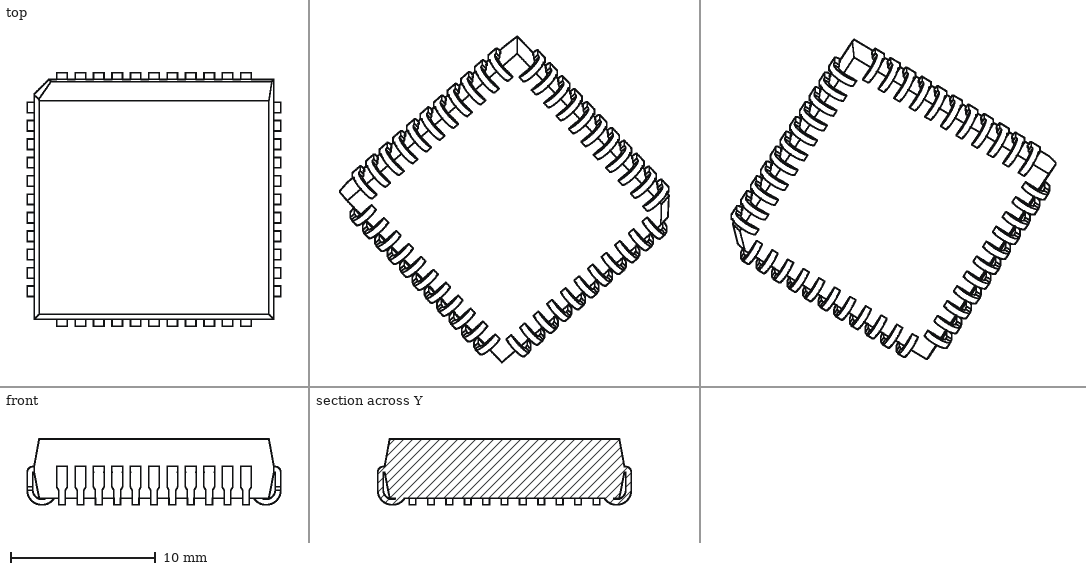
import cadquery as cq
import math

overall_width = 17.53
overall_height = 4.57

band_half = 8.29
end_half = 7.94
body_bottom = 0.46
band_bottom = 2.26
band_top = 2.66

bevel_top_y = 6.83
bevel_low_y = 8.16
bevel_low_z = 3.46

corner_leg = 1.03
upper_facet_z_at_y_face = 2.61
upper_facet_z_at_x_face = 2.52
lower_facet_z_at_y_face = 2.42
lower_facet_z_at_x_face = 2.31
facet_end_y = 6.91

dimple_diameter = 1.93
dimple_depth = 0.1
dimple_y = 5.64

side_count = 4
leads_per_side = 11
lead_pitch = 1.27
lead_thickness = band_top - band_bottom
lead_wide = 0.74
lead_narrow = 0.47
lead_outer = overall_width / 2
hook_radius = 1.02
shoulder_top = 1.25
lead_root = end_half

cutter_size = 3 * overall_width


def make_taper(start_z, end_z):
    """Square frustum from the band face at start_z to the end face at end_z."""
    return (
        cq.Workplane("XY")
        .workplane(offset=start_z)
        .rect(2 * band_half, 2 * band_half)
        .workplane(offset=end_z - start_z)
        .rect(2 * end_half, 2 * end_half)
        .loft(ruled=True)
    )


def trim_outside(solid, point_a, point_b, point_c):
    """Remove everything on the far side, away from the Z axis, of the plane through three points."""
    origin = cq.Vector(*point_a)
    along = cq.Vector(*point_b) - origin
    normal = along.cross(cq.Vector(*point_c) - origin)
    if normal.dot(cq.Vector(point_a[0], point_a[1], 0)) < 0:
        normal = normal * -1
    cutting_plane = cq.Plane(origin=origin, xDir=along, normal=normal)
    return solid.cut(cq.Workplane(cutting_plane).rect(cutter_size, cutter_size).extrude(cutter_size))


def bevel_edge(body):
    return trim_outside(
        body,
        (0, bevel_top_y, overall_height),
        (band_half, bevel_top_y, overall_height),
        (0, bevel_low_y, bevel_low_z),
    )


def chamfer_corner(body):
    corner_inset = band_half - corner_leg
    y_face_corner = (-corner_inset, band_half)
    x_face_corner = (-band_half, corner_inset)
    body = trim_outside(
        body,
        (*y_face_corner, band_bottom),
        (*x_face_corner, band_bottom),
        (*x_face_corner, band_top),
    )
    body = trim_outside(
        body,
        (*y_face_corner, upper_facet_z_at_y_face),
        (*x_face_corner, upper_facet_z_at_x_face),
        (-end_half, facet_end_y, overall_height),
    )
    return trim_outside(
        body,
        (*y_face_corner, lower_facet_z_at_y_face),
        (*x_face_corner, lower_facet_z_at_x_face),
        (-end_half, facet_end_y, body_bottom),
    )


def make_dimple():
    """Ball that leaves a shallow round dimple in the top face."""
    rim_radius = dimple_diameter / 2
    ball_radius = (rim_radius ** 2 + dimple_depth ** 2) / (2 * dimple_depth)
    ball_z = overall_height - dimple_depth + ball_radius
    return cq.Workplane("XY").sphere(ball_radius, direct=(1, 0, 0)).translate((0, dimple_y, ball_z))


def make_body():
    band = (
        cq.Workplane("XY")
        .workplane(offset=band_bottom)
        .rect(2 * band_half, 2 * band_half)
        .extrude(band_top - band_bottom)
    )
    body = band.union(make_taper(band_top, overall_height))
    body = body.union(make_taper(band_bottom, body_bottom))
    body = bevel_edge(body)
    body = chamfer_corner(body)
    return body.cut(make_dimple())


def make_lead():
    """One lead centred on y = 0 at the +X side; its hook ends inside the body.

    The upper bend has a sharp inside corner; the hook below it is a half ring.
    """
    lead_inner = lead_outer - lead_thickness
    hook_x = lead_outer - hook_radius
    hook_inner_radius = hook_radius - lead_thickness
    bend_reach = lead_thickness * math.sqrt(0.5)
    bend_middle = (lead_inner + bend_reach, band_bottom + bend_reach)

    side_shape = (
        cq.Workplane("XZ")
        .moveTo(lead_root, band_top)
        .lineTo(lead_inner, band_top)
        .threePointArc(bend_middle, (lead_outer, band_bottom))
        .lineTo(lead_outer, hook_radius)
        .threePointArc((hook_x, 0), (hook_x - hook_radius, hook_radius))
        .lineTo(hook_x - hook_inner_radius, hook_radius)
        .threePointArc((hook_x, lead_thickness), (lead_inner, hook_radius))
        .lineTo(lead_inner, band_bottom)
        .lineTo(lead_root, band_bottom)
        .close()
        .extrude(lead_wide / 2, both=True)
    )
    wide = lead_wide / 2
    narrow = lead_narrow / 2
    face_shape = (
        cq.Workplane("YZ")
        .polyline(
            [
                (-narrow, 0),
                (narrow, 0),
                (narrow, hook_radius),
                (wide, shoulder_top),
                (wide, band_top),
                (-wide, band_top),
                (-wide, shoulder_top),
                (-narrow, hook_radius),
            ]
        )
        .close()
        .extrude(overall_width)
    )
    return side_shape.intersect(face_shape)


def make_leads():
    lead = make_lead().val()
    leads = []
    for side in range(side_count):
        for index in range(leads_per_side):
            offset = (index - (leads_per_side - 1) / 2) * lead_pitch
            placed = lead.translate(cq.Vector(0, offset, 0))
            leads.append(placed.rotate(cq.Vector(0, 0, 0), cq.Vector(0, 0, 1), side * 360 / side_count))
    return leads


result = cq.Workplane(make_body().val().fuse(*make_leads()))